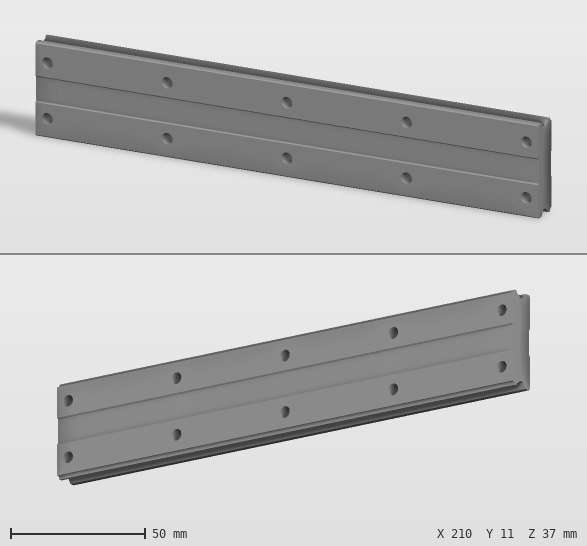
import cadquery as cq
import math

LENGTH = 210.0
THICKNESS = 11.0
HEIGHT = 37.0

RECESS_DEPTH = 0.5
RECESS_FLOOR_HEIGHT = 9.5

LIP_WIDTH = 2.75
LIP_CHAMFER = 0.5

GROOVE_DEPTH = 2.3
GROOVE_FLOOR_WIDTH = 2.2
GROOVE_WALL_ANGLE = 60.0

RIDGE_WIDTH = 4.0
RIB_WIDTH = 1.2
RIB_HEIGHT = 1.3
RIB_FILLET_RADIUS = 1.2

HOLE_DIAMETER = 4.5
HOLE_PITCH = 50.0
HOLES_PER_ROW = 5
HOLE_ROW_SPACING = 22.0

HALF_THICKNESS = THICKNESS / 2
TOP = HEIGHT / 2


def make_upper_half():
    """The half of the rail above Z = 0, extruded from its (Y, Z) section without the recesses."""
    shoulder = TOP - RIB_HEIGHT
    groove_floor = TOP - GROOVE_DEPTH

    ridge_inner = HALF_THICKNESS - RIDGE_WIDTH
    ridge_center = HALF_THICKNESS - RIDGE_WIDTH / 2
    rib_outer = ridge_center + RIB_WIDTH / 2
    rib_inner = ridge_center - RIB_WIDTH / 2
    fillet_end = shoulder + RIB_FILLET_RADIUS

    lip_inner = LIP_WIDTH - HALF_THICKNESS
    groove_wall_run = GROOVE_DEPTH / math.tan(math.radians(GROOVE_WALL_ANGLE))
    floor_start = lip_inner + groove_wall_run
    floor_end = floor_start + GROOVE_FLOOR_WIDTH

    section = (
        cq.Workplane("YZ")
        .moveTo(-HALF_THICKNESS, 0)
        .lineTo(HALF_THICKNESS, 0)
        .lineTo(HALF_THICKNESS, shoulder)
        .lineTo(rib_outer + RIB_FILLET_RADIUS, shoulder)
        .radiusArc((rib_outer, fillet_end), RIB_FILLET_RADIUS)
        .lineTo(rib_outer, TOP)
        .lineTo(rib_inner, TOP)
        .lineTo(rib_inner, fillet_end)
        .radiusArc((rib_inner - RIB_FILLET_RADIUS, shoulder), RIB_FILLET_RADIUS)
        .lineTo(ridge_inner, shoulder)
        .lineTo(floor_end, groove_floor)
        .lineTo(floor_start, groove_floor)
        .lineTo(lip_inner, TOP)
        .lineTo(LIP_CHAMFER - HALF_THICKNESS, TOP)
        .lineTo(-HALF_THICKNESS, TOP - LIP_CHAMFER)
        .close()
    )
    return section.extrude(LENGTH / 2, both=True)


def make_recess(side):
    """Cutter for the recess in the broad face on the +Y (side = 1) or -Y (side = -1) side."""
    face_y = side * HALF_THICKNESS
    floor_y = face_y - side * RECESS_DEPTH
    floor_z = RECESS_FLOOR_HEIGHT / 2
    mouth_z = floor_z + RECESS_DEPTH
    corners = [(face_y, -mouth_z), (floor_y, -floor_z), (floor_y, floor_z), (face_y, mouth_z)]
    return cq.Workplane("YZ").polyline(corners).close().extrude(LENGTH / 2, both=True)


def make_holes():
    """Cutters for the two rows of holes through the thickness."""
    return (
        cq.Workplane("XZ")
        .rarray(HOLE_PITCH, HOLE_ROW_SPACING, HOLES_PER_ROW, 2)
        .circle(HOLE_DIAMETER / 2)
        .extrude(HALF_THICKNESS, both=True)
    )


upper_half = make_upper_half()
rail = upper_half.union(upper_half.mirror("XY")).clean()
for face_side in (1, -1):
    rail = rail.cut(make_recess(face_side))

result = rail.cut(make_holes()).solids()